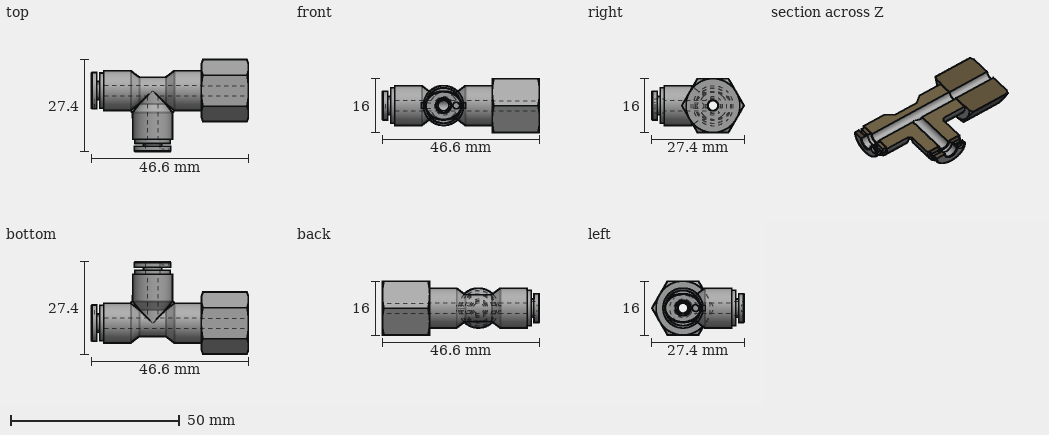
import cadquery as cq
import math


TUBE_PORT_LENGTH = 14.5
PORT_DIAMETER = 11.9
NECK_DIAMETER = 8.0
CONE_START = 3.95
CONE_END = 6.5
CONE_BLEND = 0.45
TEE_BORE = 3.2
WEB_THICKNESS = 1.6
WEB_REACH = 6.55

COLLAR_DIAMETER = 10.6
COLLAR_LENGTH = 1.2
COLLAR_END = TUBE_PORT_LENGTH + COLLAR_LENGTH
COLLAR_CHAMFER = 0.1

STEM_DIAMETER = 5.5
BUTTON_WIDTH = 10.85
BUTTON_HEIGHT = 8.6
BUTTON_THICKNESS = 1.65
BUTTON_CHAMFER = 0.25
BUTTON_END = 18.15
TUBE_BORE = 4.2
BORE_CHAMFER = 0.25
DIMPLE_DIAMETER = 2.0
DIMPLE_OFFSET = 3.77
DIMPLE_DEPTH = 0.85

HEX_ACROSS_FLATS = 16.0
HEX_ACROSS_CORNERS = HEX_ACROSS_FLATS / math.cos(math.radians(30))
HEX_END = 28.45
HEX_LENGTH = HEX_END - TUBE_PORT_LENGTH
HEX_CORNER_BEVEL = 0.45
HEX_BORE = 3.0

PORT_RADIUS = PORT_DIAMETER / 2
NECK_RADIUS = NECK_DIAMETER / 2

BRANCH_ANGLE = 0
LEFT_ANGLE = -90
RIGHT_ANGLE = 90
TUBE_ANGLES = (BRANCH_ANGLE, LEFT_ANGLE)


def turned_about_z(shape, angle):
    return shape.rotate((0, 0, 0), (0, 0, 1), angle)


def disc(diameter, start, end):
    """Cylinder on the branch axis between two distances from the crossing."""
    plane = cq.Workplane("XZ", origin=(0, -start, 0))
    return plane.circle(diameter / 2).extrude(end - start)


def port_outside():
    """One arm of the tee: neck, cone and port, with the cone edges rounded."""
    profile = [
        (0, 0),
        (NECK_RADIUS, 0),
        (NECK_RADIUS, -CONE_START),
        (PORT_RADIUS, -CONE_END),
        (PORT_RADIUS, -TUBE_PORT_LENGTH),
        (0, -TUBE_PORT_LENGTH),
    ]
    arm = cq.Workplane("XY").polyline(profile).close().revolve(360, (0, 0, 0), (0, 1, 0))
    cone_edges = cq.selectors.BoxSelector(
        (-PORT_DIAMETER, -CONE_END - CONE_BLEND, -PORT_DIAMETER),
        (PORT_DIAMETER, -CONE_START + CONE_BLEND, PORT_DIAMETER),
    )
    return arm.edges("%CIRCLE").edges(cone_edges).fillet(CONE_BLEND)


def corner_web(side):
    """Flat web filling the corner between the branch and one end of the run."""
    outline = [
        (0, 0),
        (side * WEB_REACH, 0),
        (side * WEB_REACH, -PORT_RADIUS),
        (side * PORT_RADIUS, -WEB_REACH),
        (0, -WEB_REACH),
    ]
    plane = cq.Workplane("XY")
    return plane.polyline(outline).close().extrude(WEB_THICKNESS / 2, both=True)


def make_tee_body():
    body = port_outside()
    for angle in (LEFT_ANGLE, RIGHT_ANGLE):
        body = body.union(turned_about_z(port_outside(), angle))
    for side in (-1, 1):
        body = body.union(corner_web(side))
    branch_bore = disc(TEE_BORE, 0, TUBE_PORT_LENGTH)
    run_bore = turned_about_z(disc(TEE_BORE, -TUBE_PORT_LENGTH, TUBE_PORT_LENGTH), LEFT_ANGLE)
    return body.cut(branch_bore).cut(run_bore)


def make_collar():
    """Ring between the end face of a port and the sleeve stem."""
    ring = disc(COLLAR_DIAMETER, TUBE_PORT_LENGTH, COLLAR_END)
    ring = ring.faces("<Y").edges().chamfer(COLLAR_CHAMFER)
    return ring.cut(disc(TUBE_BORE, TUBE_PORT_LENGTH, COLLAR_END))


def make_release_sleeve():
    """Oval push button with a round stem that rests on the collar."""
    button_start = BUTTON_END - BUTTON_THICKNESS
    button = (
        cq.Workplane("XZ", origin=(0, -button_start, 0))
        .ellipse(BUTTON_WIDTH / 2, BUTTON_HEIGHT / 2)
        .extrude(BUTTON_THICKNESS)
        .faces("<Y")
        .edges()
        .chamfer(BUTTON_CHAMFER)
    )
    sleeve = button.union(disc(STEM_DIAMETER, COLLAR_END, button_start))
    sleeve = sleeve.cut(disc(TUBE_BORE, COLLAR_END, BUTTON_END))
    sleeve = sleeve.faces("<Y").edges("%CIRCLE").chamfer(BORE_CHAMFER)
    dimple = disc(DIMPLE_DIAMETER, BUTTON_END - DIMPLE_DEPTH, BUTTON_END)
    return sleeve.cut(dimple.translate((DIMPLE_OFFSET, 0, 0)))


def hex_bevel_envelope():
    """Turned blank whose conical ends bevel the corners of the hexagon."""
    flat_radius = HEX_ACROSS_FLATS / 2
    corner_radius = HEX_ACROSS_CORNERS / 2
    profile = [
        (TUBE_PORT_LENGTH, 0),
        (TUBE_PORT_LENGTH, flat_radius),
        (TUBE_PORT_LENGTH + HEX_CORNER_BEVEL, corner_radius),
        (HEX_END - HEX_CORNER_BEVEL, corner_radius),
        (HEX_END, flat_radius),
        (HEX_END, 0),
    ]
    return cq.Workplane("XY").polyline(profile).close().revolve(360, (0, 0, 0), (1, 0, 0))


def make_hex_end():
    """Hexagon with corners on +Y and -Y, seated on the right port."""
    plane = cq.Workplane("YZ", origin=(TUBE_PORT_LENGTH, 0, 0))
    hexagon = plane.polygon(6, HEX_ACROSS_CORNERS).extrude(HEX_LENGTH)
    bore = plane.circle(HEX_BORE / 2).extrude(HEX_LENGTH)
    return hexagon.intersect(hex_bevel_envelope()).cut(bore)


tee_body = make_tee_body()
hex_end = make_hex_end()
collars = [turned_about_z(make_collar(), angle).val() for angle in TUBE_ANGLES]
release_sleeves = [turned_about_z(make_release_sleeve(), angle).val() for angle in TUBE_ANGLES]

result = cq.Compound.makeCompound([tee_body.val(), hex_end.val(), *collars, *release_sleeves])